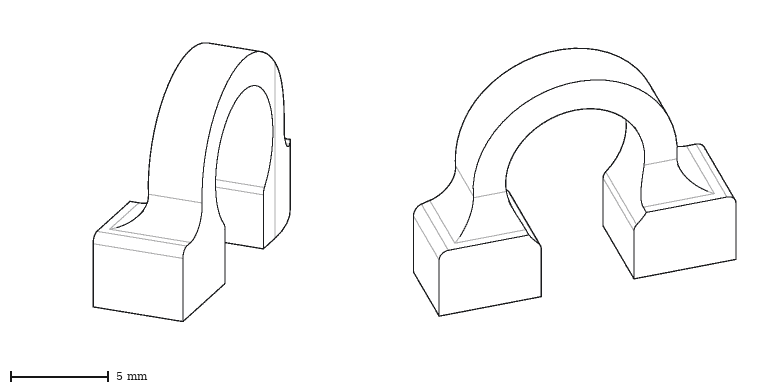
import cadquery as cq

span = 16.0
thickness = 5.0
foot_height = 4.0
foot_gap = 5.0
arch_center_z = 6.0
arch_outer_radius = 5.5
arch_inner_radius = 3.75
arch_setback = 2.0
root_radius = 1.5
edge_radius = 0.5
relief_radius = 10.0
relief_start_y = 4.0

half_span = span / 2
top_z = arch_center_z + arch_outer_radius
root_top_z = foot_height + root_radius


def arch_and_feet():
    """Arch standing on two feet, as one outline extruded along X."""
    center_distance = arch_outer_radius + root_radius
    blend_center_y = (center_distance**2 - (arch_center_z - root_top_z) ** 2) ** 0.5
    arch_share = arch_outer_radius / center_distance
    tangent_y = blend_center_y * arch_share
    tangent_z = arch_center_z - (arch_center_z - root_top_z) * arch_share

    outline = (
        cq.Workplane("YZ")
        .moveTo(-half_span, 0)
        .lineTo(-half_span, foot_height - edge_radius)
        .radiusArc((-half_span + edge_radius, foot_height), edge_radius)
        .lineTo(-blend_center_y, foot_height)
        .radiusArc((-tangent_y, tangent_z), -root_radius)
        .threePointArc((0, top_z), (tangent_y, tangent_z))
        .radiusArc((blend_center_y, foot_height), -root_radius)
        .lineTo(half_span - edge_radius, foot_height)
        .radiusArc((half_span, foot_height - edge_radius), edge_radius)
        .lineTo(half_span, 0)
        .close()
    )
    body = outline.extrude(thickness)
    bore = cq.Workplane("YZ").center(0, arch_center_z).circle(arch_inner_radius).extrude(thickness)
    gap = (
        cq.Workplane("YZ")
        .rect(foot_gap, arch_center_z)
        .extrude(thickness)
        .translate((0, 0, arch_center_z / 2))
    )
    body = body.cut(bore.union(gap))

    bore_drop = (arch_inner_radius**2 - (foot_gap / 2) ** 2) ** 0.5
    edge_z = arch_center_z - bore_drop
    for side in (-1, 1):
        edge_point = (thickness / 2, side * foot_gap / 2, edge_z)
        body = body.edges(cq.selectors.NearestToPointSelector(edge_point)).fillet(edge_radius)
    return body


def stepped_side_profile():
    """Setback of the arch with its blend; crossing it with the arch miters the blend corners."""
    return (
        cq.Workplane("XZ")
        .lineTo(thickness, 0)
        .lineTo(thickness, top_z)
        .lineTo(arch_setback, top_z)
        .lineTo(arch_setback, root_top_z)
        .radiusArc((arch_setback - root_radius, foot_height), root_radius)
        .lineTo(0, foot_height)
        .close()
        .extrude(half_span, both=True)
    )


def relieved_plan():
    """Plan outline whose +X face curves away towards the +Y end."""
    relief_length = half_span - relief_start_y
    relief_depth = relief_radius - (relief_radius**2 - relief_length**2) ** 0.5
    return (
        cq.Workplane("XY")
        .moveTo(0, -half_span)
        .lineTo(thickness, -half_span)
        .lineTo(thickness, relief_start_y)
        .radiusArc((thickness - relief_depth, half_span), -relief_radius)
        .lineTo(0, half_span)
        .close()
        .extrude(top_z)
    )


result = arch_and_feet().intersect(stepped_side_profile()).intersect(relieved_plan())